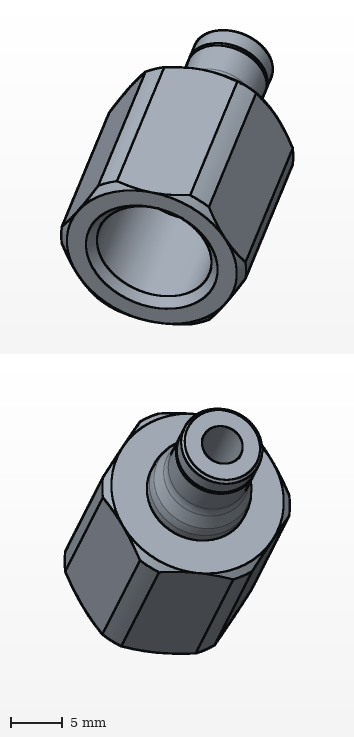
import cadquery as cq
import math

total_length = 29.0

body_length = 18.0
across_flats = 17.0
corner_diameter = 18.5
end_chamfer_length = 0.65

socket_diameter = 11.45
socket_mouth_diameter = 13.17
socket_depth = 12.0
bore_diameter = 4.0

collar_diameter = 10.0
collar_length = 1.13
stem_diameter = 8.0
stem_length = 6.0
neck_blend_length = 1.13
neck_blend_rise = 0.2
tip_chamfer = 0.3
groove_diameter = 7.02
groove_width = 0.35
groove_to_tip = 2.2


def revolve_about_y(profile):
    """Turn a closed XY profile, with X as radius, about the Y axis."""
    return profile.close().revolve(360, (0, 0, 0), (0, 1, 0))


def make_body():
    corner_radius = corner_diameter / 2
    end_radius = across_flats / 2
    hexagon = (
        cq.Workplane("XZ")
        .polygon(6, across_flats / math.cos(math.pi / 6))
        .extrude(-body_length)
    )
    turned_envelope = revolve_about_y(
        cq.Workplane("XY")
        .moveTo(0, 0)
        .lineTo(end_radius, 0)
        .lineTo(corner_radius, end_chamfer_length)
        .lineTo(corner_radius, body_length - end_chamfer_length)
        .lineTo(end_radius, body_length)
        .lineTo(0, body_length)
    )
    return hexagon.intersect(turned_envelope)


def make_spigot():
    collar_radius = collar_diameter / 2
    stem_radius = stem_diameter / 2
    groove_radius = groove_diameter / 2
    collar_end = body_length + collar_length
    stem_start = total_length - stem_length
    groove_end = total_length - groove_to_tip
    groove_start = groove_end - groove_width
    taper_start = (collar_radius - neck_blend_rise, collar_end + neck_blend_length)
    taper_end = (stem_radius + neck_blend_rise, stem_start - neck_blend_length)
    return revolve_about_y(
        cq.Workplane("XY")
        .moveTo(0, body_length)
        .lineTo(collar_radius, body_length)
        .lineTo(collar_radius, collar_end)
        .tangentArcPoint(taper_start, relative=False)
        .lineTo(*taper_end)
        .tangentArcPoint((stem_radius, stem_start), relative=False)
        .lineTo(stem_radius, groove_start)
        .lineTo(groove_radius, groove_start)
        .lineTo(groove_radius, groove_end)
        .lineTo(stem_radius, groove_end)
        .lineTo(stem_radius, total_length - tip_chamfer)
        .lineTo(stem_radius - tip_chamfer, total_length)
        .lineTo(0, total_length)
    )


def make_passage():
    mouth_radius = socket_mouth_diameter / 2
    socket_radius = socket_diameter / 2
    bore_radius = bore_diameter / 2
    mouth_chamfer = mouth_radius - socket_radius
    return revolve_about_y(
        cq.Workplane("XY")
        .moveTo(0, 0)
        .lineTo(mouth_radius, 0)
        .lineTo(socket_radius, mouth_chamfer)
        .lineTo(socket_radius, socket_depth)
        .lineTo(bore_radius, socket_depth)
        .lineTo(bore_radius, total_length)
        .lineTo(0, total_length)
    )


result = make_body().union(make_spigot()).cut(make_passage())